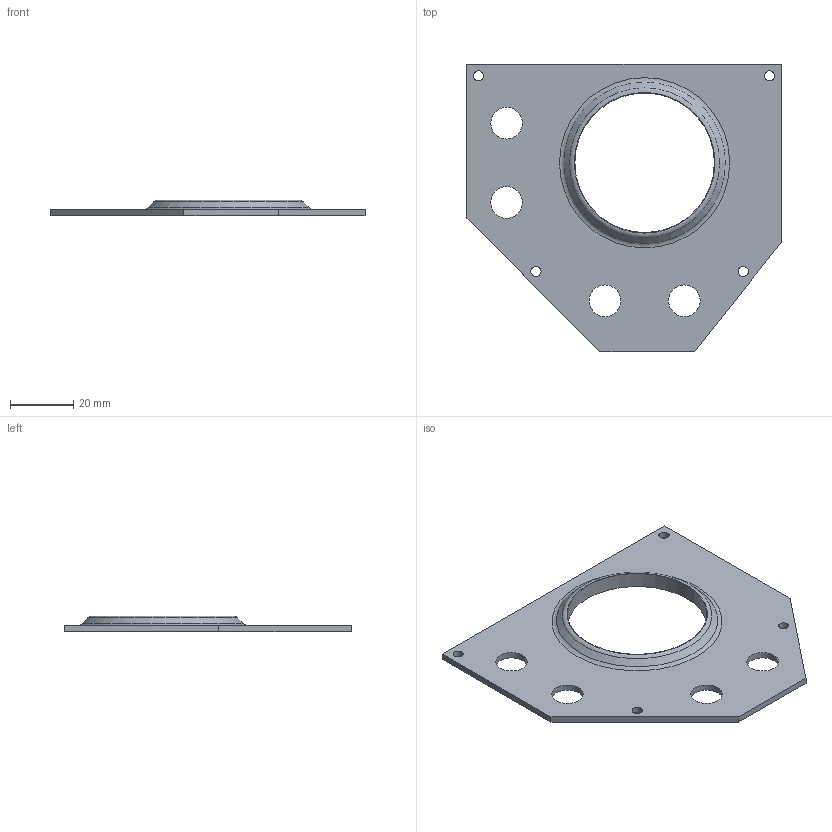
import cadquery as cq
import math


plate_thickness = 2.0
plate_left = -56.0
plate_right = 43.0
plate_back = 31.0
plate_front = -59.5
left_corner_cut = 41.9
right_corner_cut_x = 27.2
right_corner_cut_y = 34.3

opening_radius = 22.0
collar_height = 3.0
bend_radius = 2.0
slope_angle = math.radians(45)
slope_foot_radius = 26.0

large_hole_diameter = 10.0
large_hole_offset = 43.5
large_hole_spacing = 25.0

mount_hole_diameter = 3.2
corner_hole_margin = 3.6
back_mount_y = plate_back - corner_hole_margin
front_mount_y = -34.25
front_left_mount_x = -34.25
front_right_mount_x = 31.1
mount_hole_points = [
    (plate_left + corner_hole_margin, back_mount_y),
    (plate_right - corner_hole_margin, back_mount_y),
    (front_left_mount_x, front_mount_y),
    (front_right_mount_x, front_mount_y),
]


def make_plate():
    """Flat plate with its two front corners cut off."""
    outline = [
        (plate_left, plate_back),
        (plate_right, plate_back),
        (plate_right, plate_front + right_corner_cut_y),
        (plate_right - right_corner_cut_x, plate_front),
        (plate_left + left_corner_cut, plate_front),
        (plate_left, plate_front + left_corner_cut),
    ]
    return cq.Workplane("XY").polyline(outline).close().extrude(plate_thickness)


def make_collar():
    """Revolved cone that blends into the plate at its foot and into a flat rim at its top."""
    top_z = plate_thickness + collar_height
    slope_top_radius = slope_foot_radius - collar_height / math.tan(slope_angle)
    tangent_length = bend_radius * math.tan(slope_angle / 2)
    bend_run = bend_radius * math.sin(slope_angle)
    bend_rise = bend_radius * (1 - math.cos(slope_angle))
    half_run = bend_radius * math.sin(slope_angle / 2)
    half_rise = bend_radius * (1 - math.cos(slope_angle / 2))

    foot_r = slope_foot_radius + tangent_length
    rim_r = slope_top_radius - tangent_length
    profile = (
        cq.Workplane("XZ")
        .moveTo(opening_radius, 0)
        .lineTo(foot_r, 0)
        .lineTo(foot_r, plate_thickness)
        .threePointArc(
            (foot_r - half_run, plate_thickness + half_rise),
            (foot_r - bend_run, plate_thickness + bend_rise),
        )
        .lineTo(rim_r + bend_run, top_z - bend_rise)
        .threePointArc((rim_r + half_run, top_z - half_rise), (rim_r, top_z))
        .lineTo(opening_radius, top_z)
        .close()
    )
    return profile.revolve(360, (0, 0, 0), (0, 1, 0))


def make_through_holes(points, diameter):
    """Vertical cutters through the plate at the given points."""
    return cq.Workplane("XY").pushPoints(points).circle(diameter / 2).extrude(plate_thickness)


half_spacing = large_hole_spacing / 2
large_hole_points = []
for shift in (-half_spacing, half_spacing):
    large_hole_points.append((-large_hole_offset, shift))
    large_hole_points.append((shift, -large_hole_offset))

opening = cq.Workplane("XY").circle(opening_radius).extrude(plate_thickness)

result = (
    make_plate()
    .cut(opening)
    .union(make_collar())
    .cut(make_through_holes(large_hole_points, large_hole_diameter))
    .cut(make_through_holes(mount_hole_points, mount_hole_diameter))
)